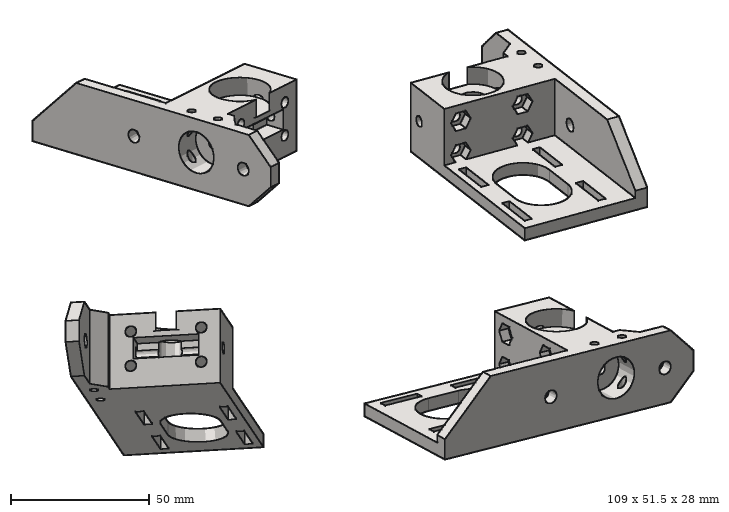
import cadquery as cq

LENGTH = 109.0
DEPTH = 51.5
HEIGHT = 28.0
WALL = 5.0

LEFT_CUT = 20.1
RIGHT_CUT = 10.0
MOUNT_HOLE_DIAMETER = 5.0
MOUNT_HOLE_XS = (46.4, 96.5)
MOUNT_HOLE_Z = 14.0

BLOCK_LEFT = 57.1
BLOCK_RIGHT = 81.0
BOSS_BACK = 10.8
BOSS_SHOULDER_X = 83.9
BOSS_TOE_X = 88.9

CENTER_Y = 31.5
WINDOW_X = 28.5
WINDOW_LENGTH = 35.0
WINDOW_WIDTH = 22.0
STRAP_SLOT_LENGTH = 16.0
STRAP_SLOT_WIDTH = 3.0
STRAP_SLOT_SPACING_X = 30.7
STRAP_SLOT_SPACING_Y = 31.0

POCKET_X = 70.5
POCKET_DIAMETER = 22.2
POCKET_DEPTH = 7.0
SHAFT_HOLE_DIAMETER = 10.0
NOTCH_LEFT = 73.5
NOTCH_WIDTH = 24.0
NOTCH_HEIGHT = 8.0

BORE_X = 75.0
BORE_Z = 14.9
BORE_DIAMETER = 16.0
BORE_DEPTH = 10.0
FEED_HOLE_DIAMETER = 4.0
PIN_HOLE_DIAMETER = 3.0
PIN_HOLE_SPACING = 12.0

BOLT_DIAMETER = 4.0
BOLT_SPACING_Y = 25.9
BOLT_SPACING_Z = 13.0
BOLT_CENTER_Z = 14.8
NUT_CORNER_DIAMETER = 8.3
NUT_DEPTH = 4.0


def box(x_range, y_range, z_range):
    """Box between the given limits along each axis."""
    starts, ends = zip(x_range, y_range, z_range)
    sizes = [end - start for start, end in zip(starts, ends)]
    return cq.Workplane("XY").box(*sizes, centered=False).translate(starts)


def cylinder_y(x, z, diameter, length):
    """Cylinder running from the front face toward +Y."""
    return cq.Workplane("XZ").center(x, z).circle(diameter / 2).extrude(-length)


def cylinder_z(x, y, diameter, bottom, top):
    """Vertical cylinder between two heights."""
    return cq.Workplane("XY", origin=(x, y, bottom)).circle(diameter / 2).extrude(top - bottom)


def make_body():
    """Base plate, front plate and block joined together."""
    base = box((0, BLOCK_RIGHT), (0, DEPTH), (0, WALL))
    front_outline = [
        (0, 0),
        (LENGTH - RIGHT_CUT, 0),
        (LENGTH, RIGHT_CUT),
        (LENGTH, HEIGHT - RIGHT_CUT),
        (LENGTH - RIGHT_CUT, HEIGHT),
        (LEFT_CUT, HEIGHT),
        (0, HEIGHT - LEFT_CUT),
    ]
    front = cq.Workplane("XZ").polyline(front_outline).close().extrude(-WALL)
    block_outline = [
        (BLOCK_LEFT, 0),
        (BOSS_TOE_X, 0),
        (BOSS_TOE_X, WALL),
        (BOSS_SHOULDER_X, BOSS_BACK),
        (BLOCK_RIGHT, BOSS_BACK),
        (BLOCK_RIGHT, DEPTH),
        (BLOCK_LEFT, DEPTH),
    ]
    block = cq.Workplane("XY").polyline(block_outline).close().extrude(HEIGHT)
    return base.union(front).union(block)


def cut_base_openings(body):
    """Rounded window and four strap slots through the base plate."""
    plate_center = cq.Workplane("XY").center(WINDOW_X, CENTER_Y)
    window = plate_center.slot2D(WINDOW_LENGTH, WINDOW_WIDTH).extrude(WALL)
    strap_slots = (
        cq.Workplane("XY")
        .center(WINDOW_X, CENTER_Y)
        .rarray(STRAP_SLOT_SPACING_X, STRAP_SLOT_SPACING_Y, 2, 2)
        .rect(STRAP_SLOT_LENGTH, STRAP_SLOT_WIDTH)
        .extrude(WALL)
    )
    return body.cut(window).cut(strap_slots)


def cut_bearing_pocket(body):
    """Round top pocket, blind shaft hole and a notch level with the feed bore."""
    pocket = cylinder_z(POCKET_X, CENTER_Y, POCKET_DIAMETER, HEIGHT - POCKET_DEPTH, HEIGHT)
    shaft_hole = cylinder_z(POCKET_X, CENTER_Y, SHAFT_HOLE_DIAMETER, WALL, HEIGHT)
    notch = box(
        (NOTCH_LEFT, BLOCK_RIGHT),
        (CENTER_Y - NOTCH_WIDTH / 2, CENTER_Y + NOTCH_WIDTH / 2),
        (BORE_Z - NOTCH_HEIGHT / 2, BORE_Z + NOTCH_HEIGHT / 2),
    )
    return body.cut(pocket).cut(shaft_hole).cut(notch)


def cut_front_holes(body):
    """Mounting holes, the feed bore and the two vertical pin holes crossing it."""
    for x in MOUNT_HOLE_XS:
        body = body.cut(cylinder_y(x, MOUNT_HOLE_Z, MOUNT_HOLE_DIAMETER, WALL))
    body = body.cut(cylinder_y(BORE_X, BORE_Z, BORE_DIAMETER, BORE_DEPTH))
    body = body.cut(cylinder_y(BORE_X, BORE_Z, FEED_HOLE_DIAMETER, DEPTH))
    for side in (-1, 1):
        pin_x = BORE_X + side * PIN_HOLE_SPACING / 2
        body = body.cut(cylinder_z(pin_x, WALL, PIN_HOLE_DIAMETER, 0, HEIGHT))
    return body


def cut_bolts(body):
    """Four bolt holes along X, each with a nut recess in the block's left face."""
    face = cq.Workplane("YZ", origin=(BLOCK_LEFT, CENTER_Y, BOLT_CENTER_Z))
    pattern = face.rarray(BOLT_SPACING_Y, BOLT_SPACING_Z, 2, 2)
    holes = pattern.circle(BOLT_DIAMETER / 2).extrude(BLOCK_RIGHT - BLOCK_LEFT)
    nuts = pattern.polygon(6, NUT_CORNER_DIAMETER).extrude(NUT_DEPTH)
    above_base = box((BLOCK_LEFT, BLOCK_RIGHT), (0, DEPTH), (WALL, HEIGHT))
    return body.cut(holes).cut(nuts.intersect(above_base))


result = make_body()
result = cut_base_openings(result)
result = cut_bearing_pocket(result)
result = cut_front_holes(result)
result = cut_bolts(result)